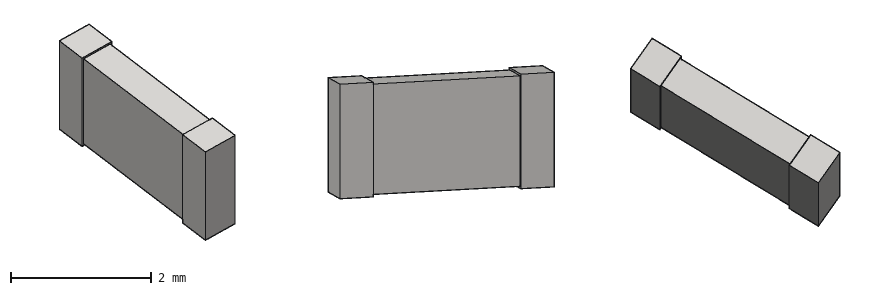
import cadquery as cq

length = 3.2
cap_depth = 0.56
cap_height = 1.66
cap_length = 0.5
cap_wall = 0.03

body_depth = cap_depth - 2 * cap_wall
body_height = cap_height - 2 * cap_wall
cap_center = (length - cap_length) / 2

result = cq.Workplane("XY").box(length, body_depth, body_height)

for side in (-1, 1):
    cap = cq.Workplane("XY").box(cap_length, cap_depth, cap_height)
    result = result.union(cap.translate((side * cap_center, 0, 0)))

result = result.clean()